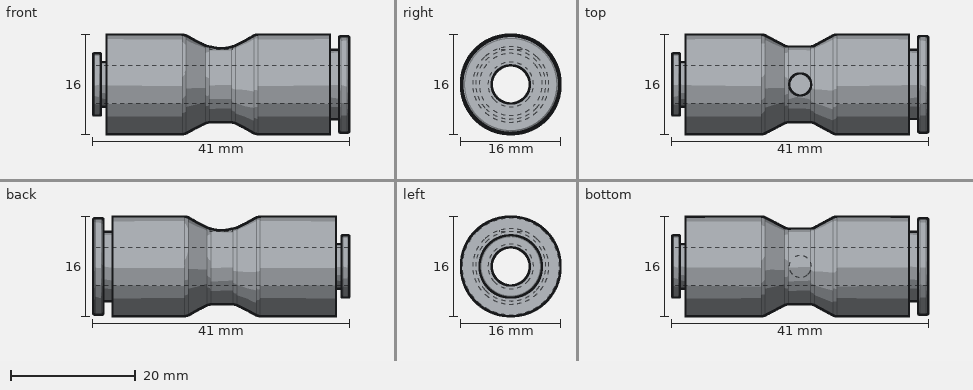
import cadquery as cq

length = 41.05
body_radius = 8.0
waist_radius = 6.07
bore_radius = 3.05

small_flange_end = 1.27
body_start = 2.15
small_cone_start = 14.6
waist_start = 18.3
waist_end = 22.5
large_cone_end = 26.05
body_end = 37.95
large_flange_start = 39.35

small_neck_radius = 3.6
small_flange_radius = 5.0
small_flange_round = 0.25
large_neck_radius = 5.6
large_flange_radius = 7.75
large_flange_round = 0.35

body_blend_radius = 1.25
waist_blend_radius = 1.25
pick_margin = 0.05

badge_center_x = 20.5
badge_radius = 1.75
badge_floor_z = 5.6


def cylinder(start, end, radius):
    """Solid cylinder on the X axis between two positions."""
    return cq.Workplane("YZ", origin=(start, 0, 0)).circle(radius).extrude(end - start)


def make_body():
    """Waisted body with softened corners at both ends of each cone."""
    body = (
        cq.Workplane("XY")
        .moveTo(body_start, 0)
        .lineTo(body_start, body_radius)
        .lineTo(small_cone_start, body_radius)
        .lineTo(waist_start, waist_radius)
        .lineTo(waist_end, waist_radius)
        .lineTo(large_cone_end, body_radius)
        .lineTo(body_end, body_radius)
        .lineTo(body_end, 0)
        .close()
        .revolve(360, (0, 0, 0), (1, 0, 0))
    )

    def corner_edges(first, second):
        corners = [
            cq.selectors.BoxSelector((x - pick_margin, -length, -length), (x + pick_margin, length, length))
            for x in (first, second)
        ]
        return body.edges("%CIRCLE").edges(corners[0] + corners[1])

    body = corner_edges(small_cone_start, large_cone_end).fillet(body_blend_radius)
    return corner_edges(waist_start, waist_end).fillet(waist_blend_radius)


def make_collar(flange_start, flange_end, flange_radius, edge_round, neck_start, neck_end, neck_radius):
    """Flange with rounded rims on a narrower neck."""
    flange = cylinder(flange_start, flange_end, flange_radius).edges("%CIRCLE").fillet(edge_round)
    return flange.union(cylinder(neck_start, neck_end, neck_radius))


small_collar = make_collar(
    0, small_flange_end, small_flange_radius, small_flange_round,
    small_flange_end, body_start, small_neck_radius,
)
large_collar = make_collar(
    large_flange_start, length, large_flange_radius, large_flange_round,
    body_end, large_flange_start, large_neck_radius,
)
bore = cylinder(0, length, bore_radius)
badge_seat = (
    cq.Workplane("XY", origin=(badge_center_x, 0, badge_floor_z))
    .circle(badge_radius)
    .extrude(body_radius - badge_floor_z)
)

result = make_body().union(small_collar).union(large_collar).cut(bore).cut(badge_seat)